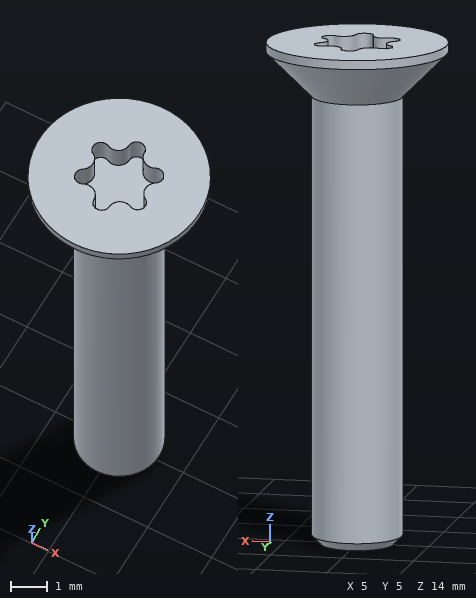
import cadquery as cq
import math

length = 14.0
head_diameter = 5.0
shank_diameter = 2.5
head_height = 1.5
rim_height = 0.25
tip_chamfer = 0.25

lobe_count = 6
recess_diameter = 2.44
recess_waist_diameter = 1.64
lobe_radius = 0.24
recess_depth = 0.78


def polar(radius, angle):
    return (radius * math.cos(angle), radius * math.sin(angle))


def screw_body():
    """Revolve the half profile of the shank and countersunk head."""
    head_radius = head_diameter / 2
    shank_radius = shank_diameter / 2
    profile = [
        (0, 0),
        (shank_radius - tip_chamfer, 0),
        (shank_radius, tip_chamfer),
        (shank_radius, length - head_height),
        (head_radius, length - rim_height),
        (head_radius, length),
        (0, length),
    ]
    return cq.Workplane("XZ").polyline(profile).close().revolve(360, (0, 0), (0, 1))


def drive_recess():
    """Star of rounded lobes joined by tangent arcs that bulge inward."""
    tip_radius = recess_diameter / 2
    waist_radius = recess_waist_diameter / 2
    lobe_center_radius = tip_radius - lobe_radius
    half_pitch = math.pi / lobe_count

    along_waist = lobe_center_radius * math.cos(half_pitch)
    waist_arc_radius = (
        lobe_center_radius**2 + waist_radius**2 - 2 * waist_radius * along_waist - lobe_radius**2
    ) / (2 * (lobe_radius + along_waist - waist_radius))
    waist_center_radius = waist_radius + waist_arc_radius

    waist_x, waist_y = polar(waist_center_radius, half_pitch)
    share = lobe_radius / (lobe_radius + waist_arc_radius)
    tangent_x = lobe_center_radius + share * (waist_x - lobe_center_radius)
    tangent_y = share * waist_y
    tangent_radius = math.hypot(tangent_x, tangent_y)
    tangent_angle = math.atan2(tangent_y, tangent_x)

    first_lobe_angle = math.pi / 2
    outline = cq.Workplane("XY", origin=(0, 0, length))
    outline = outline.moveTo(*polar(tangent_radius, first_lobe_angle - tangent_angle))
    for index in range(lobe_count):
        angle = first_lobe_angle + 2 * half_pitch * index
        next_angle = angle + 2 * half_pitch
        outline = outline.threePointArc(
            polar(tip_radius, angle), polar(tangent_radius, angle + tangent_angle)
        )
        outline = outline.threePointArc(
            polar(waist_radius, angle + half_pitch), polar(tangent_radius, next_angle - tangent_angle)
        )
    return outline.close().extrude(-recess_depth)


result = screw_body().cut(drive_recess())